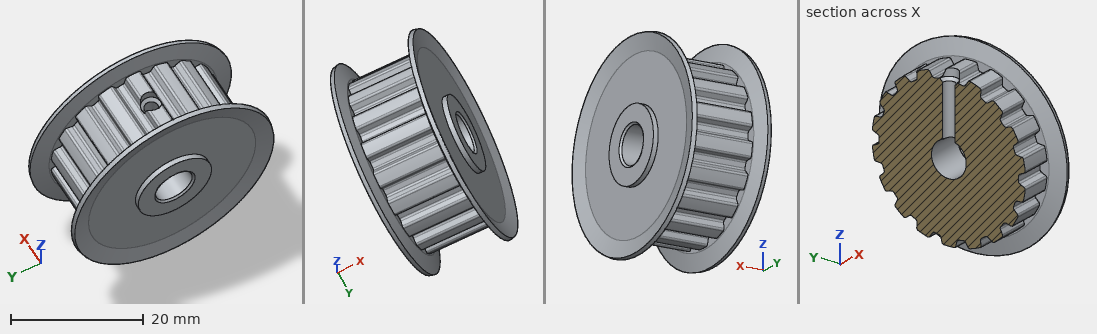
import cadquery as cq
import math

hub_length = 14.3
flange_diameter = 34.92
hub_radius = 6.35

belt_width = 11.07
sheet_thickness = 0.77
outer_bend_radius = 14.5
flare_angle = math.radians(14)

tooth_count = 18
tip_radius = 14.28
groove_depth = 1.33
groove_bottom_width = 1.33
flank_angle = math.radians(25)
tip_rounding = 0.4
root_rounding = 0.4
edge_tolerance = 0.05

bore_radius = 3.18
bore_chamfer = 0.3

screw_radius = 1.65
pilot_radius = 1.1
screw_bottom_height = 12.85
screw_cone_depth = screw_radius - pilot_radius


def make_cylinder(radius, length):
    """Solid cylinder along X, centred on the origin."""
    return cq.Workplane("YZ").workplane(offset=-length / 2).circle(radius).extrude(length)


def round_long_edges(ring, radius, rounding):
    """Fillet the lengthwise edges that lie at the given radius."""
    chosen = [
        edge for edge in ring.edges("|X").vals()
        if abs(math.hypot(edge.Center().y, edge.Center().z) - radius) < edge_tolerance
    ]
    return ring.newObject(chosen).fillet(rounding)


def make_toothed_ring():
    """Cylinder with straight-flanked grooves, rounded at the tooth tips and roots."""
    ring = make_cylinder(tip_radius, belt_width)
    root_radius = tip_radius - groove_depth
    cutter_height = 2 * groove_depth
    half_bottom = groove_bottom_width / 2
    half_top = half_bottom + cutter_height * math.tan(flank_angle)
    cutter = (
        cq.Workplane("YZ")
        .moveTo(-half_bottom, root_radius)
        .lineTo(half_bottom, root_radius)
        .lineTo(half_top, root_radius + cutter_height)
        .lineTo(-half_top, root_radius + cutter_height)
        .close()
        .extrude(belt_width, both=True)
    )
    pitch_angle = 360 / tooth_count
    for index in range(tooth_count):
        angle = (index + 0.5) * pitch_angle
        ring = ring.cut(cutter.rotate((0, 0, 0), (1, 0, 0), angle))

    ring = round_long_edges(ring, tip_radius, tip_rounding)
    return round_long_edges(ring, root_radius, root_rounding)


def make_flange():
    """Sheet disc on the +X side whose rim flares away from the teeth."""
    inner_face = belt_width / 2
    outer_face = inner_face + sheet_thickness
    inner_bend_radius = outer_bend_radius + sheet_thickness * math.tan(flare_angle / 2)
    inner_rim_radius = flange_diameter / 2
    inner_rim_x = inner_face + (inner_rim_radius - inner_bend_radius) * math.tan(flare_angle)
    outer_rim_radius = inner_rim_radius - sheet_thickness * math.sin(flare_angle)
    outer_rim_x = inner_rim_x + sheet_thickness * math.cos(flare_angle)
    return (
        cq.Workplane("XY")
        .moveTo(inner_face, 0)
        .lineTo(inner_face, inner_bend_radius)
        .lineTo(inner_rim_x, inner_rim_radius)
        .lineTo(outer_rim_x, outer_rim_radius)
        .lineTo(outer_face, outer_bend_radius)
        .lineTo(outer_face, 0)
        .close()
        .revolve(360, (0, 0, 0), (1, 0, 0))
    )


def make_bore():
    """Through bore with a chamfer at each end."""
    half_length = hub_length / 2
    mouth_radius = bore_radius + bore_chamfer
    return (
        cq.Workplane("XY")
        .moveTo(-half_length, 0)
        .lineTo(-half_length, mouth_radius)
        .lineTo(-half_length + bore_chamfer, bore_radius)
        .lineTo(half_length - bore_chamfer, bore_radius)
        .lineTo(half_length, mouth_radius)
        .lineTo(half_length, 0)
        .close()
        .revolve(360, (0, 0, 0), (1, 0, 0))
    )


def make_screw_hole():
    """Stepped radial hole from the top tooth into the bore."""
    return (
        cq.Workplane("XZ")
        .lineTo(pilot_radius, 0)
        .lineTo(pilot_radius, screw_bottom_height - screw_cone_depth)
        .lineTo(screw_radius, screw_bottom_height)
        .lineTo(screw_radius, flange_diameter / 2)
        .lineTo(0, flange_diameter / 2)
        .close()
        .revolve(360, (0, 0, 0), (0, 1, 0))
    )


flange = make_flange()
hub = make_cylinder(hub_radius, hub_length)
result = (
    make_toothed_ring()
    .union(flange)
    .union(flange.mirror("YZ"))
    .union(hub)
    .cut(make_bore())
    .cut(make_screw_hole())
)